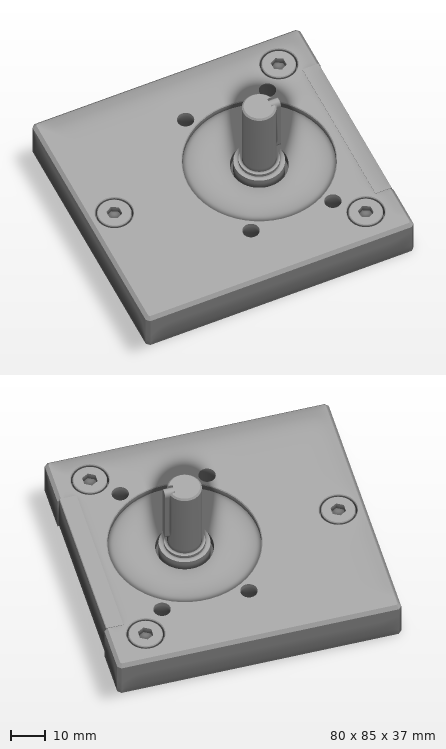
import cadquery as cq
import math

PLATE_WIDTH = 80.0
PLATE_LENGTH = 85.0
PLATE_THICKNESS = 12.0
PLATE_CHAMFER = 1.0
AXIS_TO_BACK = 31.0
BACK_Y = AXIS_TO_BACK
FRONT_Y = AXIS_TO_BACK - PLATE_LENGTH

BAR_WIDTH = 50.4
BAR_LENGTH = 5.2
BAR_PROUD = 0.15
BAR_SETBACK = 0.5
BAR_CHAMFER = 0.2
BAR_BACK_Y = BACK_Y - BAR_SETBACK
BAR_TOP_Z = PLATE_THICKNESS + BAR_PROUD

POCKET_DIAMETER = 44.5
POCKET_DEPTH = 2.0
RIM_CHAMFER = 0.25
POCKET_FLOOR_Z = PLATE_THICKNESS - POCKET_DEPTH

BORE_DIAMETER = 17.0
BORE_DEPTH = 3.0
LARGE_COLLAR_DIAMETER = 15.0
SMALL_COLLAR_DIAMETER = 12.0
SMALL_COLLAR_HEIGHT = 1.0
SHAFT_DIAMETER = 10.0
SHAFT_CHAMFER = 0.5
SHAFT_TOP_Z = 37.0
BORE_FLOOR_Z = POCKET_FLOOR_Z - BORE_DEPTH
SMALL_COLLAR_TOP_Z = PLATE_THICKNESS + SMALL_COLLAR_HEIGHT

KEY_WIDTH = 3.0
KEY_HEIGHT = 3.0
KEY_LENGTH = 20.0
KEYWAY_DEPTH = 1.8
KEY_BOTTOM_Z = SHAFT_TOP_Z - KEY_LENGTH
KEYWAY_FLOOR_Y = SHAFT_DIAMETER / 2 - KEYWAY_DEPTH

HOLE_DIAMETER = 5.0
HOLE_PITCH_RADIUS = 26.0
HOLE_ANGLES = (30, 150, 210, 330)

SCREW_POSITIONS = ((-30.0, 20.0), (30.0, 20.0), (0.0, -46.0))
COUNTERBORE_DIAMETER = 11.0
COUNTERBORE_DEPTH = 4.0
SCREW_HEAD_DIAMETER = 10.0
SCREW_HEAD_HEIGHT = 4.0
SCREW_HEAD_CHAMFER = 0.25
HEX_ACROSS_FLATS = 4.0
HEX_DEPTH = 2.0
COUNTERBORE_FLOOR_Z = PLATE_THICKNESS - COUNTERBORE_DEPTH


def cylinder(diameter, bottom_z, top_z, x=0.0, y=0.0):
    """Upright cylinder between two heights."""
    base = cq.Workplane("XY", origin=(x, y, bottom_z))
    return base.circle(diameter / 2).extrude(top_z - bottom_z)


def chamfered_recess(diameter, floor_z, x=0.0, y=0.0):
    """Cutter for a round recess in the plate top, with a chamfered rim."""
    radius = diameter / 2
    half_section = (
        cq.Workplane("XZ")
        .moveTo(0, floor_z)
        .lineTo(radius, floor_z)
        .lineTo(radius, PLATE_THICKNESS - RIM_CHAMFER)
        .lineTo(radius + RIM_CHAMFER, PLATE_THICKNESS)
        .lineTo(0, PLATE_THICKNESS)
        .close()
    )
    return half_section.revolve(360, (0, 0, 0), (0, 1, 0)).translate((x, y, 0))


def make_plate():
    plate = cq.Workplane("XY").box(
        PLATE_WIDTH, PLATE_LENGTH, PLATE_THICKNESS, centered=(True, False, False)
    )
    plate = plate.translate((0, FRONT_Y, 0))
    plate = plate.edges("|Z").chamfer(PLATE_CHAMFER)
    return plate.faces(">Z").edges().chamfer(PLATE_CHAMFER)


def back_notch():
    """Cutter that sets the back face in over the width of the bar."""
    notch_plane = cq.Workplane("XY", origin=(0, BACK_Y, 0))
    return notch_plane.rect(BAR_WIDTH, 2 * BAR_SETBACK).extrude(PLATE_THICKNESS)


def make_bar():
    bar = cq.Workplane("XY").box(BAR_WIDTH, BAR_LENGTH, BAR_TOP_Z, centered=(True, False, False))
    bar = bar.translate((0, BAR_BACK_Y - BAR_LENGTH, 0))
    return bar.faces(">Z").edges(">Y").chamfer(BAR_CHAMFER)


def keyway():
    """Cutter with a round lower end that runs out through the shaft end."""
    round_center_z = KEY_BOTTOM_Z + KEY_WIDTH / 2
    profile = (
        cq.Workplane("XZ", origin=(0, KEYWAY_FLOOR_Y, 0))
        .moveTo(-KEY_WIDTH / 2, SHAFT_TOP_Z)
        .lineTo(-KEY_WIDTH / 2, round_center_z)
        .threePointArc((0, KEY_BOTTOM_Z), (KEY_WIDTH / 2, round_center_z))
        .lineTo(KEY_WIDTH / 2, SHAFT_TOP_Z)
        .close()
    )
    return profile.extrude(-KEY_HEIGHT)


def make_key():
    key_center = (0, KEYWAY_FLOOR_Y, KEY_BOTTOM_Z + KEY_LENGTH / 2)
    profile = cq.Workplane("XZ", origin=key_center).slot2D(KEY_LENGTH, KEY_WIDTH, 90)
    return profile.extrude(-KEY_HEIGHT)


def make_shaft():
    large_collar = cylinder(LARGE_COLLAR_DIAMETER, BORE_FLOOR_Z, PLATE_THICKNESS)
    small_collar = cylinder(SMALL_COLLAR_DIAMETER, BORE_FLOOR_Z, SMALL_COLLAR_TOP_Z)
    shaft = cylinder(SHAFT_DIAMETER, BORE_FLOOR_Z, SHAFT_TOP_Z)
    shaft = shaft.faces(">Z").edges().chamfer(SHAFT_CHAMFER)
    shaft = shaft.cut(keyway())
    return shaft.union(large_collar).union(small_collar).union(make_key())


def make_screw_head(x, y):
    head_top_z = COUNTERBORE_FLOOR_Z + SCREW_HEAD_HEIGHT
    head = cylinder(SCREW_HEAD_DIAMETER, COUNTERBORE_FLOOR_Z, head_top_z, x, y)
    head = head.faces(">Z").edges().chamfer(SCREW_HEAD_CHAMFER)
    hex_across_corners = HEX_ACROSS_FLATS / math.cos(math.radians(30))
    socket_plane = cq.Workplane("XY", origin=(x, y, head_top_z))
    return head.cut(socket_plane.polygon(6, hex_across_corners).extrude(-HEX_DEPTH))


def through_holes():
    angles = [math.radians(angle) for angle in HOLE_ANGLES]
    centers = [(HOLE_PITCH_RADIUS * math.cos(a), HOLE_PITCH_RADIUS * math.sin(a)) for a in angles]
    return cq.Workplane("XY").pushPoints(centers).circle(HOLE_DIAMETER / 2).extrude(PLATE_THICKNESS)


result = make_plate()
result = result.cut(back_notch())
result = result.union(make_bar())
result = result.cut(through_holes())
result = result.cut(chamfered_recess(POCKET_DIAMETER, POCKET_FLOOR_Z))
result = result.cut(cylinder(BORE_DIAMETER, BORE_FLOOR_Z, POCKET_FLOOR_Z))
result = result.union(make_shaft())
for screw_x, screw_y in SCREW_POSITIONS:
    result = result.cut(chamfered_recess(COUNTERBORE_DIAMETER, COUNTERBORE_FLOOR_Z, screw_x, screw_y))
    result = result.union(make_screw_head(screw_x, screw_y))